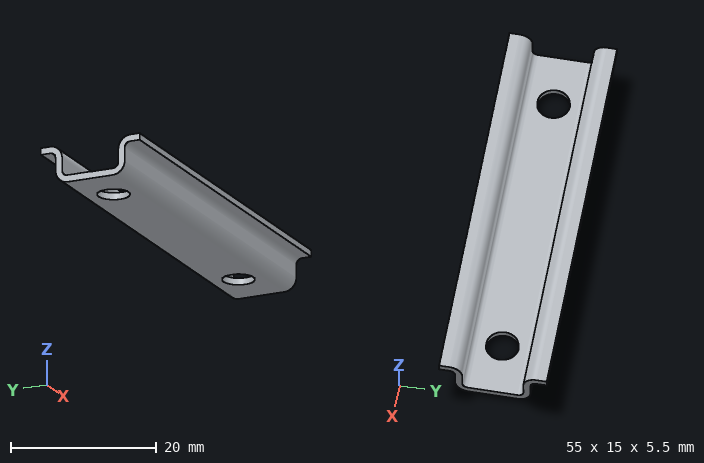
import cadquery as cq

length = 55.0
width = 15.0
height = 5.5

thickness = 1.0
channel_width = 10.5
inner_radius = 0.8
outer_radius = inner_radius + thickness

position_tolerance = 0.05

hole_diameter = 4.5
hole_spacing = 40.0


def hat_section():
    """Closed outline of the bent sheet in the YZ plane, floor resting on Z = 0."""
    half_width = width / 2
    outer_wall = channel_width / 2
    inner_wall = outer_wall - thickness
    flange_bottom = height - thickness
    outline = [
        (-half_width, height),
        (-inner_wall, height),
        (-inner_wall, thickness),
        (inner_wall, thickness),
        (inner_wall, height),
        (half_width, height),
        (half_width, flange_bottom),
        (outer_wall, flange_bottom),
        (outer_wall, 0),
        (-outer_wall, 0),
        (-outer_wall, flange_bottom),
        (-half_width, flange_bottom),
    ]
    return cq.Workplane("YZ").polyline(outline).close()


def bend_edges(rail, y, z):
    """Lengthwise edges at (+y, z) and (-y, z)."""
    centres = [cq.Vector(0, side * y, z) for side in (-1, 1)]
    edges = [
        edge
        for edge in rail.edges("|X").vals()
        if any((edge.Center() - centre).Length < position_tolerance for centre in centres)
    ]
    return rail.newObject(edges)


def round_bends(rail):
    """Round both faces of the flange and floor bends about common centres."""
    outer_wall = channel_width / 2
    inner_wall = outer_wall - thickness
    bends = [
        (inner_wall, height, outer_radius),
        (outer_wall, height - thickness, inner_radius),
        (inner_wall, thickness, inner_radius),
        (outer_wall, 0, outer_radius),
    ]
    for y, z, radius in bends:
        rail = bend_edges(rail, y, z).fillet(radius)
    return rail


def mounting_holes():
    """Cylinders passing through the channel floor."""
    centres = [(-hole_spacing / 2, 0), (hole_spacing / 2, 0)]
    return cq.Workplane("XY").pushPoints(centres).circle(hole_diameter / 2).extrude(height)


rail = round_bends(hat_section().extrude(length / 2, both=True))
result = rail.cut(mounting_holes())